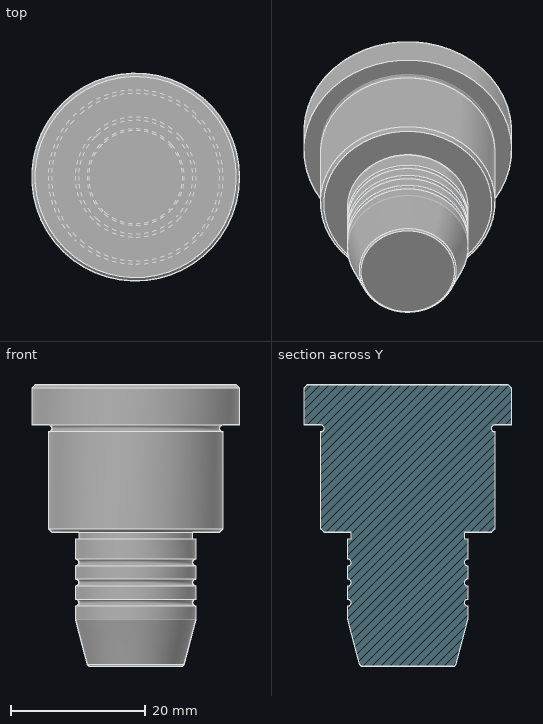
import cadquery as cq

total_height = 42.0
flange_height = 6.0
body_height = 16.0
neck_height = 1.0
nose_height = 7.0

flange_radius = 31.0 / 2
body_radius = 26.05 / 2
neck_radius = 17.0 / 2
shank_radius = 18.0 / 2
nose_radius = 14.45 / 2

edge_chamfer = 0.5
nose_chamfer = 0.25

groove_radius = 0.5
shank_groove_count = 3
shank_groove_pitch = 3.0

flange_bottom = total_height - flange_height
body_bottom = flange_bottom - body_height
shank_top = body_bottom - neck_height
first_shank_groove_z = shank_top - shank_groove_pitch - groove_radius


def turned_blank():
    """Revolve the half profile, without grooves, about the Z axis."""
    profile = (
        cq.Workplane("XZ")
        .moveTo(0, 0)
        .lineTo(nose_radius - nose_chamfer, 0)
        .lineTo(nose_radius, nose_chamfer)
        .lineTo(shank_radius, nose_height)
        .lineTo(shank_radius, shank_top)
        .lineTo(neck_radius, shank_top)
        .lineTo(neck_radius, body_bottom)
        .lineTo(body_radius - edge_chamfer, body_bottom)
        .lineTo(body_radius, body_bottom + edge_chamfer)
        .lineTo(body_radius, flange_bottom)
        .lineTo(flange_radius, flange_bottom)
        .lineTo(flange_radius, total_height - edge_chamfer)
        .lineTo(flange_radius - edge_chamfer, total_height)
        .lineTo(0, total_height)
        .close()
    )
    return profile.revolve(360, (0, 0, 0), (0, 1, 0))


def ring_groove(surface_radius, center_z):
    """Ring that cuts a half-round groove into a cylinder of the given radius."""
    return cq.Workplane(
        cq.Solid.makeTorus(surface_radius, groove_radius, cq.Vector(0, 0, center_z))
    )


result = turned_blank()

result = result.cut(ring_groove(body_radius, flange_bottom - groove_radius))

for index in range(shank_groove_count):
    groove_z = first_shank_groove_z - index * shank_groove_pitch
    result = result.cut(ring_groove(shank_radius, groove_z))